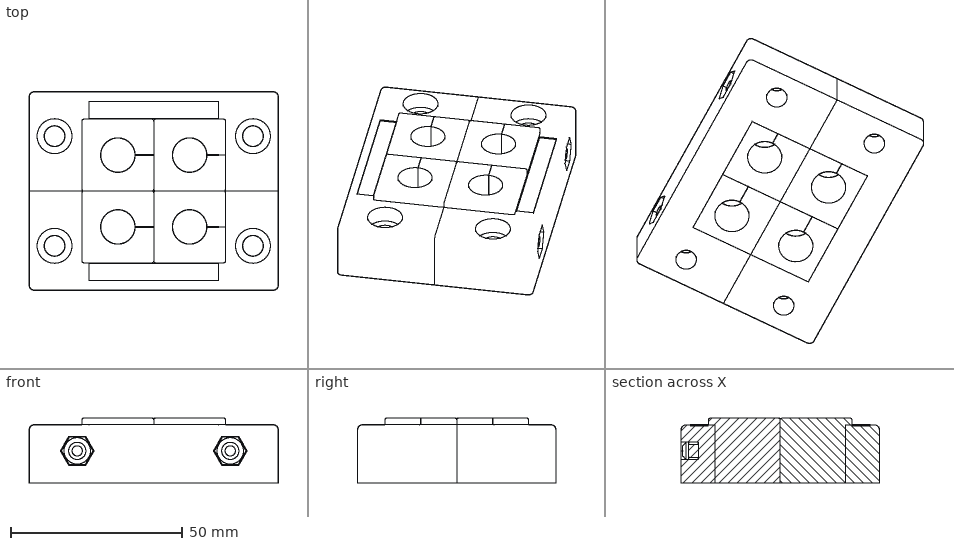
import cadquery as cq
import math

FRAME_LENGTH = 72.8
FRAME_WIDTH = 58.0
FRAME_HEIGHT = 17.0
FRAME_EDGE_RADIUS = 1.5

MOUNT_X = 29.0
MOUNT_Y = 16
MOUNT_DIAMETER = 6.0
COUNTERBORE_DIAMETER = 10.2
COUNTERBORE_DEPTH = 4.95

LABEL_LENGTH = 37.8
LABEL_WIDTH = 5.0
LABEL_DEPTH = 0.4
LABEL_Y = 23.65

FLANGE_SIZE = 21.0
FLANGE_THICKNESS = 2.0
FLANGE_EDGE_RADIUS = 0.5
NECK_SIZE = 18.9
CABLE_DIAMETER = 10.0
SLIT_WIDTH = 0.1

FASTENER_X = 22.35
FASTENER_Z = 9.4
POCKET_FLATS = 8.5
POCKET_DEPTH = 5.0
NUT_FLATS = 8
NUT_THICKNESS = 2.85
NUT_FACE_DIAMETER = 7.7
NUT_BEVEL_ANGLE = 60
SCREW_DIAMETER = 5.0
SCREW_LENGTH = 43.7
SCREW_PROTRUSION = 1.7
TIP_DIAMETER = 3.0
TIP_LENGTH = 1.0

OPENING_SIZE = 2 * NECK_SIZE
GROMMET_HEIGHT = FRAME_HEIGHT + FLANGE_THICKNESS
FRONT_Y = -FRAME_WIDTH / 2
POCKET_FLOOR_Y = FRONT_Y + POCKET_DEPTH
NUT_FACE_Y = POCKET_FLOOR_Y - NUT_THICKNESS
SCREW_TIP_Y = NUT_FACE_Y - SCREW_PROTRUSION

SIDES = (-1, 1)
QUADRANTS = [(x_side, y_side) for x_side in SIDES for y_side in SIDES]


def upright_box(length, width, height):
    """Box centred on the Z axis and standing on Z = 0."""
    return cq.Workplane("XY").box(length, width, height, centered=(True, True, False))


def plane_along_y(x, start_y):
    """Workplane on a fastener axis; negative extrusions run toward +Y."""
    return cq.Workplane("XZ", origin=(x, start_y, FASTENER_Z))


def hexagon(x, flats, start_y, depth):
    corner_diameter = flats / math.cos(math.pi / 6)
    return plane_along_y(x, start_y).polygon(6, corner_diameter).extrude(-depth)


def make_nut(x):
    """Hexagonal nut whose outer face has conically bevelled corners."""
    blank = hexagon(x, NUT_FLATS, NUT_FACE_Y, NUT_THICKNESS)
    base_radius = NUT_FACE_DIAMETER / 2 + NUT_THICKNESS * math.tan(math.radians(NUT_BEVEL_ANGLE))
    cone = (
        plane_along_y(x, POCKET_FLOOR_Y)
        .circle(base_radius)
        .extrude(NUT_THICKNESS, taper=NUT_BEVEL_ANGLE)
    )
    return blank.intersect(cone)


def make_fastener(x):
    """Screw with a conical tip, in one piece with its nut."""
    screw = plane_along_y(x, SCREW_TIP_Y).circle(SCREW_DIAMETER / 2).extrude(-SCREW_LENGTH)
    tip_inset = (SCREW_DIAMETER - TIP_DIAMETER) / 2
    screw = screw.faces("<Y").chamfer(TIP_LENGTH, tip_inset)
    return screw.union(make_nut(x))


def make_full_frame():
    """Whole frame, before it is divided into its two halves."""
    frame = upright_box(FRAME_LENGTH, FRAME_WIDTH, FRAME_HEIGHT)
    frame = frame.edges("|Z or >Z").fillet(FRAME_EDGE_RADIUS)
    frame = frame.cut(upright_box(OPENING_SIZE, OPENING_SIZE, FRAME_HEIGHT))

    mount_points = [(x_side * MOUNT_X, y_side * MOUNT_Y) for x_side, y_side in QUADRANTS]
    frame = (
        frame.faces(">Z")
        .workplane(origin=(0, 0, FRAME_HEIGHT))
        .pushPoints(mount_points)
        .cboreHole(MOUNT_DIAMETER, COUNTERBORE_DIAMETER, COUNTERBORE_DEPTH)
    )

    label = upright_box(LABEL_LENGTH, LABEL_WIDTH, LABEL_DEPTH)
    for side in SIDES:
        frame = frame.cut(label.translate((0, side * LABEL_Y, FRAME_HEIGHT - LABEL_DEPTH)))
        x = side * FASTENER_X
        frame = frame.cut(hexagon(x, POCKET_FLATS, FRONT_Y, POCKET_DEPTH))
        frame = frame.cut(make_fastener(x))
    return frame


def make_frame_half(side):
    """Half of the frame on the -Y (side = -1) or +Y (side = 1) side."""
    half_width = FRAME_WIDTH / 2
    half_space = upright_box(FRAME_LENGTH, half_width, FRAME_HEIGHT)
    return make_full_frame().intersect(half_space.translate((0, side * half_width / 2, 0)))


def make_grommet(x_side, y_side):
    """Slit cable grommet in one quadrant of the opening."""
    x = x_side * FLANGE_SIZE / 2
    y = y_side * FLANGE_SIZE / 2
    flange = upright_box(FLANGE_SIZE, FLANGE_SIZE, FLANGE_THICKNESS)
    flange = flange.edges("|Z or >Z").fillet(FLANGE_EDGE_RADIUS).translate((x, y, FRAME_HEIGHT))
    neck = upright_box(NECK_SIZE, NECK_SIZE, FRAME_HEIGHT)
    neck = neck.translate((x_side * NECK_SIZE / 2, y_side * NECK_SIZE / 2, 0))

    cable_hole = cq.Workplane("XY").circle(CABLE_DIAMETER / 2).extrude(GROMMET_HEIGHT)
    slit = upright_box(FLANGE_SIZE, SLIT_WIDTH, GROMMET_HEIGHT).translate((FLANGE_SIZE / 2, 0, 0))
    return flange.union(neck).cut(cable_hole.union(slit).translate((x, y, 0)))


frame_halves = [make_frame_half(side) for side in SIDES]
grommets = [make_grommet(x_side, y_side) for x_side, y_side in QUADRANTS]
fasteners = [make_fastener(side * FASTENER_X) for side in SIDES]

bodies = frame_halves + grommets + fasteners
result = cq.Compound.makeCompound([body.solids().val() for body in bodies])